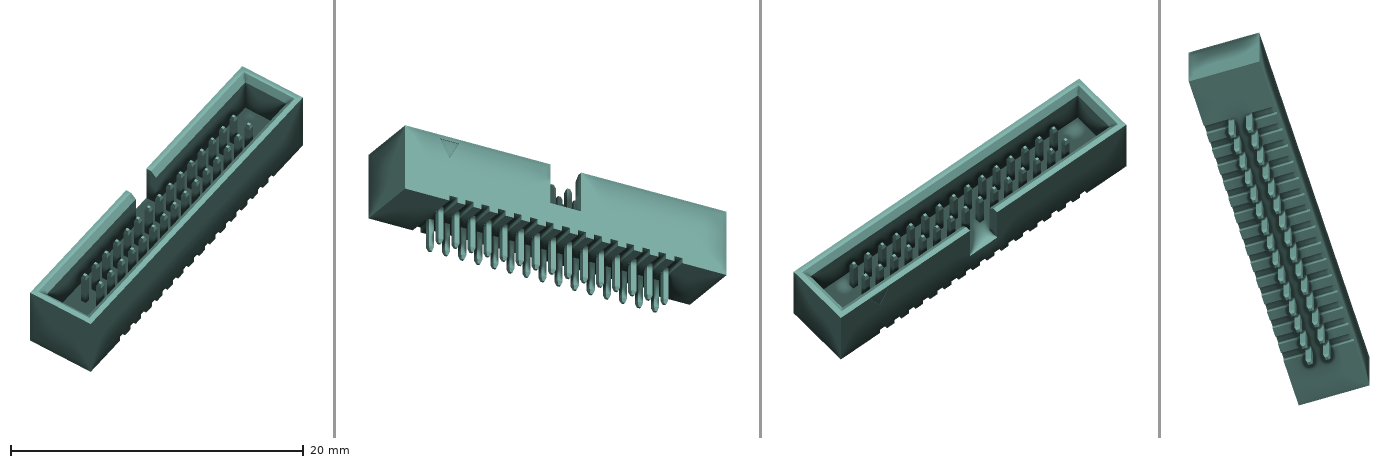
import cadquery as cq
import math

LENGTH = 25.4
WIDTH = 5.05
HEIGHT = 4.9
FLOOR = 1.9
RIM = 0.4
WALL = 0.81
BEVEL_DEPTH = 0.4

KEY_WIDTH = 2.41

PITCH = 1.27
ROW_OFFSET = 0.038
ROWS = 2
PINS_PER_ROW = 15
PIN_SIZE = 0.4
PIN_TIP_SIZE = 0.2
PIN_TIP_LENGTH = 0.3
PIN_BOTTOM = -2.4
PIN_TOP_RECESS = 0.4
PIN_TOP = HEIGHT - PIN_TOP_RECESS

NOTCH_WIDTH = 0.6
NOTCH_HEIGHT = 0.38

MARK_SIDE = 1.52
MARK_Y = 9.2
MARK_RIM_GAP = 0.3
MARK_TOP = HEIGHT - MARK_RIM_GAP
MARK_DEPTH = 0.05

row_positions = [(i - (ROWS - 1) / 2) * PITCH + ROW_OFFSET for i in range(ROWS)]
pin_positions = [(i - (PINS_PER_ROW - 1) / 2) * PITCH for i in range(PINS_PER_ROW)]


def box(x_range, y_range, z_range):
    """Box between the given limits on each axis."""
    (x0, x1), (y0, y1), (z0, z1) = x_range, y_range, z_range
    return cq.Workplane("XY").box(x1 - x0, y1 - y0, z1 - z0, centered=False).translate((x0, y0, z0))


def cavity():
    """Straight-walled pocket with a bevelled mouth."""
    inner_width = WIDTH - 2 * WALL
    inner_length = LENGTH - 2 * WALL
    pocket = cq.Workplane("XY").workplane(offset=FLOOR).rect(inner_width, inner_length).extrude(HEIGHT - FLOOR)
    mouth = (
        cq.Workplane("XY")
        .workplane(offset=HEIGHT - BEVEL_DEPTH)
        .rect(inner_width, inner_length)
        .workplane(offset=BEVEL_DEPTH)
        .rect(WIDTH - 2 * RIM, LENGTH - 2 * RIM)
        .loft(ruled=True)
    )
    return pocket.union(mouth)


def key_slot():
    """Gap through the -X wall, open at the top and level with the cavity floor."""
    return box((-WIDTH / 2, 0), (-KEY_WIDTH / 2, KEY_WIDTH / 2), (FLOOR, HEIGHT))


def notch(y):
    """Pair of notches at one pin position, each reaching in to the middle of its pin row."""
    y_range = (y - NOTCH_WIDTH / 2, y + NOTCH_WIDTH / 2)
    z_range = (0, NOTCH_HEIGHT)
    left = box((-WIDTH / 2, row_positions[0]), y_range, z_range)
    right = box((row_positions[-1], WIDTH / 2), y_range, z_range)
    return left.union(right)


def pin_mark():
    """Shallow equilateral triangle in the -X face."""
    mark_height = MARK_SIDE * math.sqrt(3) / 2
    corners = [
        (MARK_Y - MARK_SIDE / 2, MARK_TOP),
        (MARK_Y + MARK_SIDE / 2, MARK_TOP),
        (MARK_Y, MARK_TOP - mark_height),
    ]
    return cq.Workplane("YZ").workplane(offset=-WIDTH / 2).polyline(corners).close().extrude(MARK_DEPTH)


def pin():
    """Square pin along the Z axis, tapered at both ends."""
    shank_bottom = PIN_BOTTOM + PIN_TIP_LENGTH
    shank_top = PIN_TOP - PIN_TIP_LENGTH
    body = (
        cq.Workplane("XY")
        .workplane(offset=shank_bottom)
        .rect(PIN_SIZE, PIN_SIZE)
        .extrude(shank_top - shank_bottom)
    )
    for base, direction in ((shank_top, 1), (shank_bottom, -1)):
        tip = (
            cq.Workplane("XY")
            .workplane(offset=base)
            .rect(PIN_SIZE, PIN_SIZE)
            .workplane(offset=direction * PIN_TIP_LENGTH)
            .rect(PIN_TIP_SIZE, PIN_TIP_SIZE)
            .loft(ruled=True)
        )
        body = body.union(tip)
    return body


result = cq.Workplane("XY").box(WIDTH, LENGTH, HEIGHT, centered=(True, True, False))
result = result.cut(cavity()).cut(key_slot()).cut(pin_mark())
for y in pin_positions:
    result = result.cut(notch(y))

one_pin = pin()
for x in row_positions:
    for y in pin_positions:
        result = result.union(one_pin.translate((x, y, 0)))